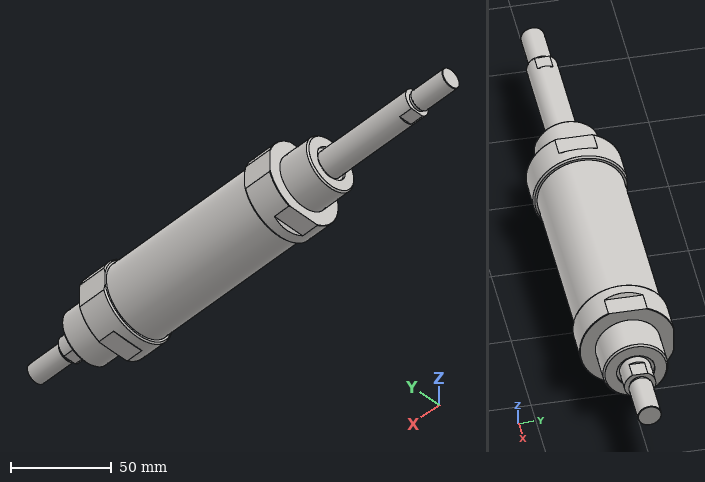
import cadquery as cq


total_length = 295.0
left_stickout = 85.0
right_stickout = 35.0

rod_radius = 8.0
thread_radius = 6.05
thread_length = 22.5
thread_chamfer = 0.3
neck_radius = 5.3
neck_length = 1.8
shoulder = thread_length + neck_length
rod_flat_end = 32.5
rod_flat_height = 6.93

nose_radius = 16.5
nose_length = 19.8
nose_chamfer = 1.0
recess_radius = 9.7
recess_depth = 1.5
collar_radius = 24.5
collar_length = 18.3
collar_outer_chamfer = 0.3
collar_inner_chamfer = 1.0
cap_flat_length = 10.5
cap_flat_ramp = 1.2
cap_flat_height = 22.5
back_flat_distance = 23.3
cap_length = nose_length + collar_length

barrel_radius = 22.5
barrel_start = left_stickout + cap_length
barrel_end = total_length - right_stickout - cap_length
rod_joint = (barrel_start + barrel_end) / 2


def cylinder(start, end, radius):
    """Solid cylinder on the X axis between two X positions."""
    return cq.Workplane("YZ", origin=(start, 0, 0)).circle(radius).extrude(end - start)


def flat_cutter(outline, half_width):
    """Cutters for a pair of opposite flats, from the (X, Z) outline of the upper one."""
    upper = cq.Workplane("XZ").polyline(outline).close().extrude(half_width, both=True)
    return upper.union(upper.mirror("XY"))


def facing_left(shape):
    """Keep a shape built from the left end as it is."""
    return shape


def facing_right(shape):
    """Turn a shape built from the left end round to the right end."""
    return shape.mirror("YZ").translate((total_length, 0, 0))


def make_rod(length):
    """Rod with a chamfered thread, an undercut neck and a pair of wrench flats."""
    thread = cylinder(0, thread_length, thread_radius).faces("<X").chamfer(thread_chamfer)
    neck = cylinder(thread_length, shoulder, neck_radius)
    shank = cylinder(shoulder, length, rod_radius)
    flats = flat_cutter(
        [
            (shoulder, rod_flat_height),
            (rod_flat_end, rod_flat_height),
            (rod_flat_end, rod_radius),
            (shoulder, rod_radius),
        ],
        rod_radius,
    )
    return thread.union(neck).union(shank.cut(flats))


def make_cap():
    """Stepped end cap with wrench flats, a flat +Y side and a counterbored rod hole."""
    nose = cylinder(0, nose_length, nose_radius).faces("<X").chamfer(nose_chamfer)

    collar = cylinder(nose_length, cap_length, collar_radius)
    collar = collar.faces("<X").chamfer(collar_outer_chamfer)
    collar = collar.faces(">X").chamfer(collar_inner_chamfer)

    flat_end = nose_length + cap_flat_length
    wrench_flats = flat_cutter(
        [
            (nose_length, cap_flat_height),
            (flat_end, cap_flat_height),
            (flat_end + cap_flat_ramp, collar_radius),
            (nose_length, collar_radius),
        ],
        collar_radius,
    )
    back_flat = (
        cq.Workplane("XY")
        .box(cap_length, collar_radius, 2 * collar_radius, centered=(False, False, True))
        .translate((0, back_flat_distance, 0))
    )
    collar = collar.cut(wrench_flats).cut(back_flat)

    rod_hole = cylinder(0, cap_length, rod_radius)
    recess = cylinder(0, recess_depth, recess_radius)
    return nose.union(collar).cut(rod_hole).cut(recess)


def make_barrel():
    """Barrel between the caps, bored to fit the rods."""
    outside = cylinder(barrel_start, barrel_end, barrel_radius)
    return outside.cut(cylinder(barrel_start, barrel_end, rod_radius))


left_end = (left_stickout, rod_joint, facing_left)
right_end = (right_stickout, total_length - rod_joint, facing_right)

rods = []
caps = []
for stickout, rod_length, facing in (left_end, right_end):
    rods.append(facing(make_rod(rod_length)).solids().val())
    caps.append(facing(make_cap().translate((stickout, 0, 0))).solids().val())
barrel = make_barrel().solids().val()

result = cq.Compound.makeCompound([*rods, *caps, barrel])